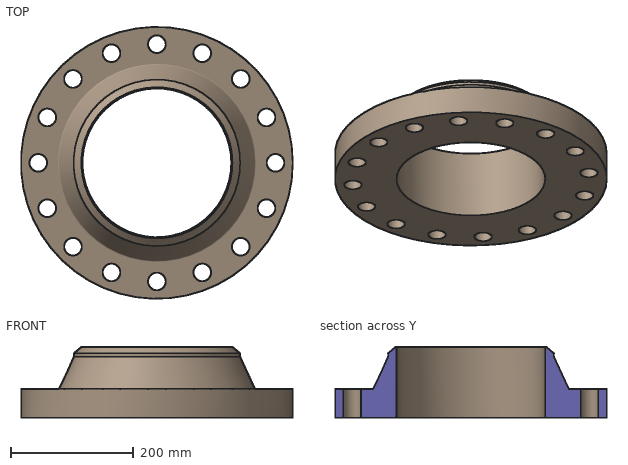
import cadquery as cq

flange_diameter = 444.5
flange_thickness = 47.0
total_height = 116.0
bore_diameter = 242.5

hub_base_diameter = 321.0
hub_base_fillet = 2.0
collar_diameter = 272.0
collar_height = 5.5
bevel_height = 10.5
weld_land_width = 2.0

bolt_hole_count = 16
bolt_hole_diameter = 28.5
bolt_circle_diameter = 387.5

bore_radius = bore_diameter / 2
flange_radius = flange_diameter / 2
collar_radius = collar_diameter / 2
hub_base_radius = hub_base_diameter / 2
collar_top = total_height - bevel_height
collar_bottom = collar_top - collar_height


def make_flange_body():
    """Revolve the half section, drawn with X as radius and Y as height."""
    section = (
        cq.Workplane("XZ")
        .moveTo(bore_radius, 0)
        .lineTo(flange_radius, 0)
        .lineTo(flange_radius, flange_thickness)
        .lineTo(hub_base_radius, flange_thickness)
        .lineTo(collar_radius, collar_bottom)
        .lineTo(collar_radius, collar_top)
        .lineTo(bore_radius + weld_land_width, total_height)
        .lineTo(bore_radius, total_height)
        .close()
    )
    return section.revolve(360, (0, 0, 0), (0, 1, 0))


def round_hub_base(body):
    """Fillet the circle where the hub taper meets the flange face."""
    reach = hub_base_radius + hub_base_fillet
    selection = cq.selectors.BoxSelector(
        (-reach, -reach, flange_thickness - hub_base_fillet),
        (reach, reach, flange_thickness + hub_base_fillet),
        boundingbox=True,
    )
    return body.edges(selection).edges("%CIRCLE").fillet(hub_base_fillet)


def drill_bolt_holes(body):
    """Cut the ring of bolt holes through the flange plate."""
    holes = (
        cq.Workplane("XY")
        .polarArray(bolt_circle_diameter / 2, 0, 360, bolt_hole_count)
        .circle(bolt_hole_diameter / 2)
        .extrude(flange_thickness)
    )
    return body.cut(holes)


result = drill_bolt_holes(round_hub_base(make_flange_body()))